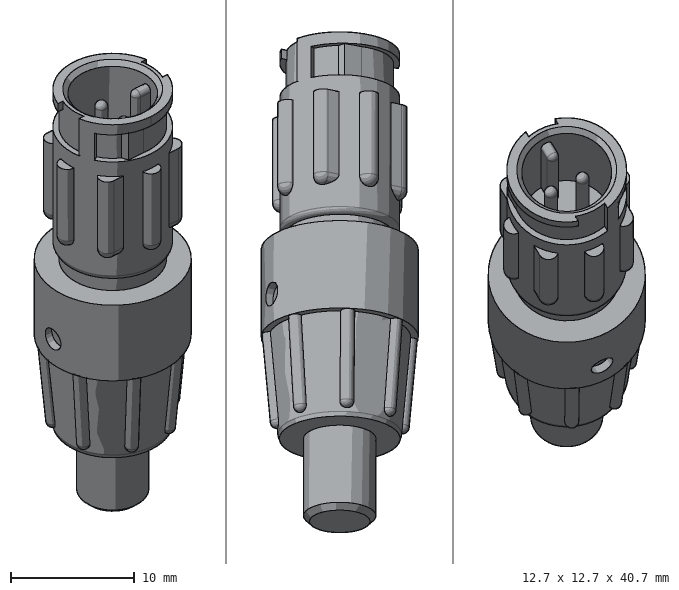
import cadquery as cq
import math

TOTAL_HEIGHT = 40.65
CABLE_CHAMFER = 0.5
STRAIN_RELIEF_BOTTOM = 7.2
STRAIN_RELIEF_EDGE = 7.55
COLLAR_BOTTOM = 16.0
COLLAR_TOP = 23.6
BODY_BOTTOM = 24.95
BODY_FILLET = 0.5
GRIP_TOP = 35.45
GRIP_STRAIGHT_BOTTOM = 28.25
TRACK_BOTTOM = 36.9
SOCKET_FLOOR = 32.5

CABLE_RADIUS = 2.93
CONE_FOOT_RADIUS = 4.88
CONE_EDGE_RADIUS = 5.0
CONE_TOP_RADIUS = 5.75
COLLAR_RADIUS = 6.35
NECK_RADIUS = 4.35
BODY_RADIUS = 4.85

BORE_RADIUS = 3.6
BORE_CHAMFER = 0.4
PIN_RADIUS = 0.53
PIN_OFFSET = 1.42
PIN_TIP = 38.6
KEY_RADIUS = 0.5
KEY_TIP_Y = 2.05
KEY_TOP = 39.4
MARK_RADIUS = 0.25
MARK_X = -0.98
MARK_Y = 1.6

GRIP_RIB_RADIUS = 0.8
GRIP_RIB_CENTRE = 4.8
CONE_RIB_COUNT = 8
CONE_RIB_RADIUS = 0.55
CONE_RIB_BOTTOM = 8.45
CONE_RIB_OVERLAP = 0.1

ENTRY_WIDTH = 2.65
TRACK_END_ANGLE = 32.5
TRACK_ROOF_START = 39.83
TRACK_ROOF_END = 39.6
DETENT_START_Y = 0.4
DETENT_PEAK_Y = 1.95
DETENT_BACK_Y = 2.2

DIMPLE_RADIUS = 0.98
DIMPLE_DEPTH = 0.75
DIMPLE_HEIGHT = 18.55


def cylinder(radius, bottom, top):
    return cq.Workplane("XY").workplane(offset=bottom).circle(radius).extrude(top - bottom)


def sphere(radius, x, y, z):
    return cq.Workplane("XY").sphere(radius).translate((x, y, z))


def half_turn_pair(shape):
    return shape, shape.rotate((0, 0, 0), (0, 0, 1), 180)


def turned_shell():
    """Solid of revolution: cable stub, tapered strain relief, collar, neck and body."""
    fillet_mid = BODY_FILLET * math.sqrt(0.5)
    return (
        cq.Workplane("XZ")
        .moveTo(0, 0)
        .lineTo(CABLE_RADIUS - CABLE_CHAMFER, 0)
        .lineTo(CABLE_RADIUS, CABLE_CHAMFER)
        .lineTo(CABLE_RADIUS, STRAIN_RELIEF_BOTTOM)
        .lineTo(CONE_FOOT_RADIUS, STRAIN_RELIEF_BOTTOM)
        .lineTo(CONE_EDGE_RADIUS, STRAIN_RELIEF_EDGE)
        .lineTo(CONE_TOP_RADIUS, COLLAR_BOTTOM)
        .lineTo(COLLAR_RADIUS, COLLAR_BOTTOM)
        .lineTo(COLLAR_RADIUS, COLLAR_TOP)
        .lineTo(NECK_RADIUS, COLLAR_TOP)
        .lineTo(NECK_RADIUS, BODY_BOTTOM)
        .threePointArc(
            (NECK_RADIUS + fillet_mid, BODY_BOTTOM + BODY_FILLET - fillet_mid),
            (BODY_RADIUS, BODY_BOTTOM + BODY_FILLET),
        )
        .lineTo(BODY_RADIUS, TOTAL_HEIGHT)
        .lineTo(0, TOTAL_HEIGHT)
        .close()
        .revolve(360, (0, 0, 0), (0, 1, 0))
    )


def round_ended_post(radius, x, y, flat_z, round_z):
    """Upright cylinder, square at flat_z and domed beyond round_z."""
    bottom, top = sorted((flat_z, round_z))
    post = cylinder(radius, bottom, top).translate((x, y, 0))
    return post.union(sphere(radius, x, y, round_z))


def round_ended_slab(radius, x, nose_y, root_y, flat_z, round_z):
    """Upright slab with a half-round nose, running along Y to a buried root.

    Its end at flat_z is square; beyond round_z its other end is rounded over.
    """
    length = abs(root_y - nose_y)
    bottom, top = sorted((flat_z, round_z))
    nose = round_ended_post(radius, x, nose_y, flat_z, round_z)
    middle_y = (nose_y + root_y) / 2
    web = cq.Workplane("XY").box(2 * radius, length, top - bottom, centered=(True, True, False))
    start = cq.Vector(x, min(nose_y, root_y), round_z)
    ridge = cq.Workplane(cq.Solid.makeCylinder(radius, length, start, cq.Vector(0, 1, 0)))
    return nose.union(web.translate((x, middle_y, bottom))).union(ridge)


def grip_ribs():
    """Vertical ribs standing out of the body, rounded at their lower ends.

    The ribs off the X axis have straight sides parallel to Y that run into the body.
    """
    centre = GRIP_RIB_CENTRE
    diagonal = centre * math.sqrt(0.5)
    ribs = [
        round_ended_post(GRIP_RIB_RADIUS, x, 0, GRIP_TOP, GRIP_STRAIGHT_BOTTOM)
        for x in (-centre, centre)
    ]
    for x, y in ((-diagonal, diagonal), (0, centre), (diagonal, diagonal)):
        for nose_y in (-y, y):
            ribs.append(
                round_ended_slab(GRIP_RIB_RADIUS, x, nose_y, 0, GRIP_TOP, GRIP_STRAIGHT_BOTTOM)
            )
    return ribs


def cone_ribs():
    """Round-ended ribs whose axes lie on the tapered strain relief."""
    slope = (CONE_TOP_RADIUS - CONE_EDGE_RADIUS) / (COLLAR_BOTTOM - STRAIN_RELIEF_EDGE)
    start_x = CONE_EDGE_RADIUS + slope * (CONE_RIB_BOTTOM - STRAIN_RELIEF_EDGE)
    rise = COLLAR_BOTTOM + CONE_RIB_OVERLAP - CONE_RIB_BOTTOM
    axis = cq.Vector(slope * rise, 0, rise)
    start = cq.Vector(start_x, 0, CONE_RIB_BOTTOM)
    rib = cq.Workplane(cq.Solid.makeCylinder(CONE_RIB_RADIUS, axis.Length, start, axis))
    rib = rib.union(sphere(CONE_RIB_RADIUS, start_x, 0, CONE_RIB_BOTTOM))
    step = 360 / CONE_RIB_COUNT
    return [rib.rotate((0, 0, 0), (0, 0, 1), (i + 0.5) * step) for i in range(CONE_RIB_COUNT)]


def socket():
    """Bore with a chamfered mouth."""
    mouth = BORE_RADIUS + BORE_CHAMFER
    return (
        cq.Workplane("XZ")
        .moveTo(0, SOCKET_FLOOR)
        .lineTo(BORE_RADIUS, SOCKET_FLOOR)
        .lineTo(BORE_RADIUS, TOTAL_HEIGHT - BORE_CHAMFER)
        .lineTo(mouth, TOTAL_HEIGHT)
        .lineTo(0, TOTAL_HEIGHT)
        .close()
        .revolve(360, (0, 0, 0), (0, 1, 0))
    )


def contact_pin(x):
    return round_ended_post(PIN_RADIUS, x, 0, SOCKET_FLOOR, PIN_TIP - PIN_RADIUS)


def key():
    """Round-nosed, round-topped key reaching inward from the +Y side of the bore."""
    nose_y = KEY_TIP_Y + KEY_RADIUS
    root_y = (BORE_RADIUS + NECK_RADIUS) / 2
    return round_ended_slab(KEY_RADIUS, 0, nose_y, root_y, SOCKET_FLOOR, KEY_TOP - KEY_RADIUS)


def bayonet_track():
    """Entry notch at -Y leading into a groove that runs past -X under a falling roof."""
    reach = 2 * BODY_RADIUS
    ring = cylinder(reach, TRACK_BOTTOM, TOTAL_HEIGHT)
    ring = ring.cut(cylinder(NECK_RADIUS, TRACK_BOTTOM, TOTAL_HEIGHT))

    end_x = -reach * math.tan(math.radians(TRACK_END_ANGLE))
    sweep = (
        cq.Workplane("XY")
        .workplane(offset=TRACK_BOTTOM)
        .polyline([(0, 0), (0, -reach), (-reach, -reach), (-reach, reach), (end_x, reach)])
        .close()
        .extrude(TOTAL_HEIGHT - TRACK_BOTTOM)
    )
    side_profile = (
        cq.Workplane("YZ")
        .polyline([
            (-BODY_RADIUS, TRACK_BOTTOM),
            (BODY_RADIUS, TRACK_BOTTOM),
            (BODY_RADIUS, TRACK_ROOF_END),
            (-BODY_RADIUS, TRACK_ROOF_START),
        ])
        .close()
        .extrude(-reach)
    )
    entry = cq.Workplane("XY").box(
        ENTRY_WIDTH, reach, TOTAL_HEIGHT - TRACK_BOTTOM, centered=(True, False, False)
    )
    entry = entry.translate((0, -reach, TRACK_BOTTOM))
    flat_x = -math.sqrt(NECK_RADIUS**2 - DETENT_START_Y**2)
    back_x = -math.sqrt(NECK_RADIUS**2 - DETENT_BACK_Y**2)
    detent = (
        cq.Workplane("XY")
        .workplane(offset=TRACK_BOTTOM)
        .polyline([
            (0, 0),
            (flat_x, DETENT_START_Y),
            (flat_x, DETENT_PEAK_Y),
            (back_x, DETENT_BACK_Y),
        ])
        .close()
        .extrude(TOTAL_HEIGHT - TRACK_BOTTOM)
    )
    groove = ring.intersect(sweep).intersect(side_profile).cut(detent)
    return groove.union(ring.intersect(entry))


def collar_dimple():
    return cq.Workplane(
        cq.Solid.makeCylinder(
            DIMPLE_RADIUS,
            COLLAR_RADIUS,
            cq.Vector(0, DIMPLE_DEPTH - COLLAR_RADIUS, DIMPLE_HEIGHT),
            cq.Vector(0, -1, 0),
        )
    )


result = turned_shell()
for rib in grip_ribs() + cone_ribs():
    result = result.union(rib)
for cutter in (*half_turn_pair(bayonet_track()), *half_turn_pair(collar_dimple()), socket()):
    result = result.cut(cutter)
for contact in (contact_pin(-PIN_OFFSET), contact_pin(PIN_OFFSET), key()):
    result = result.union(contact)
result = result.union(sphere(MARK_RADIUS, MARK_X, MARK_Y, SOCKET_FLOOR))